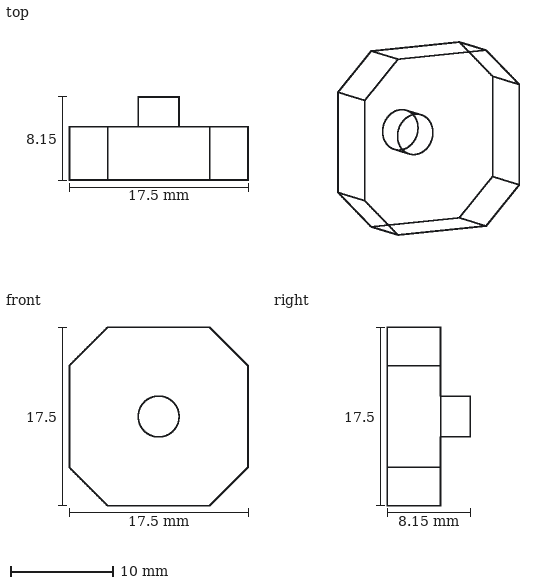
import cadquery as cq

plate_width = 17.5
corner_chamfer = 3.76
total_depth = 8.15
stem_length = 2.9
stem_diameter = 4.0
plate_thickness = total_depth - stem_length

plate = (
    cq.Workplane("XY")
    .box(plate_width, plate_thickness, plate_width, centered=(True, False, True))
    .edges("|Y")
    .chamfer(corner_chamfer)
)

result = (
    plate.faces(">Y")
    .workplane(origin=(0, plate_thickness, 0))
    .circle(stem_diameter / 2)
    .extrude(stem_length)
)